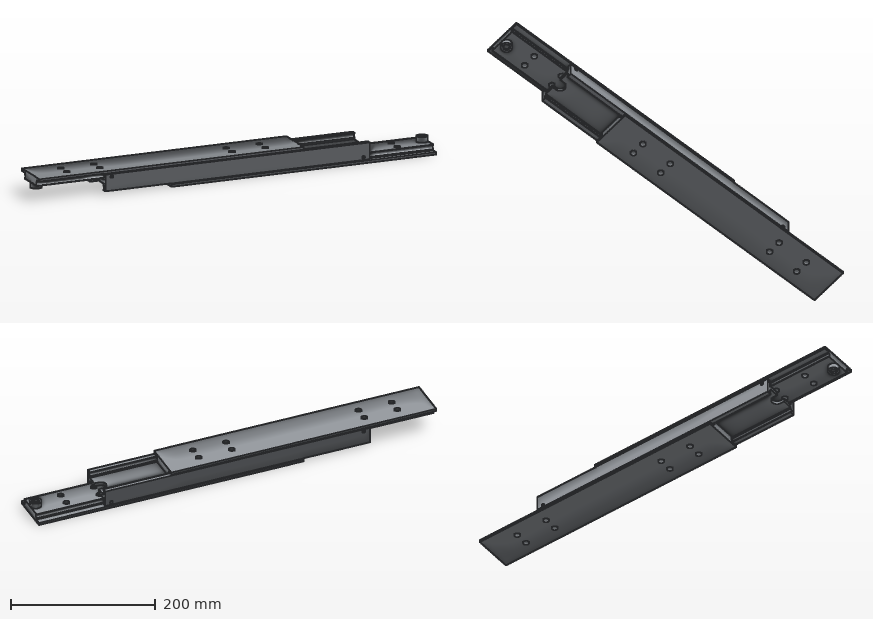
import cadquery as cq
import math

WIDTH = 60.0
HEIGHT = 34.0
EXTENDED_LENGTH = 600.0
RAIL_LENGTH = EXTENDED_LENGTH * 2 / 3

PLATE_THICKNESS = 3.5
GUIDE_HALF_WIDTH = 21.0
GUIDE_FACE_Z = 5.0

MIDDLE_HEIGHT = 24.0
WEB_THICKNESS = 5.5
WALL_GAP = 2.0
WALL_INNER_X = GUIDE_HALF_WIDTH + WALL_GAP

GROOVE_RADIUS = 3.0
GROOVE_Z = 8.5
GROOVE_X = GUIDE_HALF_WIDTH + WALL_GAP / 2
GROOVE_HALF_HEIGHT = math.sqrt(GROOVE_RADIUS**2 - (WALL_GAP / 2) ** 2)

MOUNT_HOLE_DIAMETER = 8.5
MOUNT_HOLE_SPACING = RAIL_LENGTH / 20
MOUNT_HOLE_PITCH = RAIL_LENGTH / 8
MOUNT_HOLE_STEPS = (1, 2, 6, 7)

STOP_DIAMETER = RAIL_LENGTH / 25
STOP_TOP_Z = 3.0
STOP_OVERHANG = 0.1
SOCKET_SIDES = 6
SOCKET_ACROSS_CORNERS = 10.0
SOCKET_DEPTH = 3.5
NOTCH_DEPTH = 14.5

CROSS_HOLE_DIAMETER = 4.0
CROSS_HOLE_FROM_END = 9.5


def groove(section, lip_x, bottom_x, z, rise):
    """Draw a section on to a ball groove and along its arc; rise is 1 going up, -1 going down."""
    return section.lineTo(lip_x, z - rise * GROOVE_HALF_HEIGHT).threePointArc(
        (bottom_x, z), (lip_x, z + rise * GROOVE_HALF_HEIGHT)
    )


def mirrored_rail(half_section):
    """Extrude a closed right half section along -Y and mirror it to the left."""
    half = half_section.close().extrude(RAIL_LENGTH)
    return half.union(half.mirror("YZ"))


def make_outer_rail():
    """Lower outer rail, plate down, with its stop at the +Y end."""
    end_y = EXTENDED_LENGTH / 2 - STOP_OVERHANG
    bottom_z = -HEIGHT / 2
    plate_z = bottom_z + PLATE_THICKNESS

    section = (
        cq.Workplane("XZ", origin=(0, end_y, 0))
        .moveTo(0, bottom_z)
        .lineTo(WIDTH / 2, bottom_z)
        .lineTo(WIDTH / 2, plate_z)
        .lineTo(GUIDE_HALF_WIDTH, plate_z)
    )
    section = groove(section, GUIDE_HALF_WIDTH, GROOVE_X - GROOVE_RADIUS, -GROOVE_Z, 1)
    section = section.lineTo(GUIDE_HALF_WIDTH, -GUIDE_FACE_Z).lineTo(0, -GUIDE_FACE_Z)
    rail = mirrored_rail(section)

    hole_points = [
        (side * MOUNT_HOLE_SPACING / 2, end_y - step * MOUNT_HOLE_PITCH)
        for step in MOUNT_HOLE_STEPS
        for side in (-1, 1)
    ]
    holes = (
        cq.Workplane("XY", origin=(0, 0, bottom_z))
        .pushPoints(hole_points)
        .circle(MOUNT_HOLE_DIAMETER / 2)
        .extrude(HEIGHT / 2)
    )

    stop_y = EXTENDED_LENGTH / 2 - STOP_DIAMETER / 2
    stop = (
        cq.Workplane("XY", origin=(0, stop_y, -GUIDE_FACE_Z))
        .circle(STOP_DIAMETER / 2)
        .extrude(STOP_TOP_Z + GUIDE_FACE_Z)
    )
    socket = (
        cq.Workplane("XY", origin=(0, stop_y, STOP_TOP_Z))
        .polygon(SOCKET_SIDES, SOCKET_ACROSS_CORNERS)
        .extrude(-SOCKET_DEPTH)
    )
    return rail.cut(holes).union(stop).cut(socket)


def make_middle_rail():
    """H-section with a stop notch at both web ends and cross holes through the walls."""
    end_y = RAIL_LENGTH / 2
    top_z = MIDDLE_HEIGHT / 2
    web_z = WEB_THICKNESS / 2

    section = (
        cq.Workplane("XZ", origin=(0, end_y, 0))
        .moveTo(0, -web_z)
        .lineTo(WALL_INNER_X, -web_z)
    )
    section = groove(section, WALL_INNER_X, GROOVE_X + GROOVE_RADIUS, -GROOVE_Z, -1)
    section = (
        section.lineTo(WALL_INNER_X, -top_z)
        .lineTo(WIDTH / 2, -top_z)
        .lineTo(WIDTH / 2, top_z)
        .lineTo(WALL_INNER_X, top_z)
    )
    section = groove(section, WALL_INNER_X, GROOVE_X + GROOVE_RADIUS, GROOVE_Z, -1)
    section = section.lineTo(WALL_INNER_X, web_z).lineTo(0, web_z)
    rail = mirrored_rail(section)

    for end in (-1, 1):
        notch = (
            cq.Workplane("XY", origin=(0, end * end_y, 0))
            .slot2D(2 * NOTCH_DEPTH, STOP_DIAMETER, 90)
            .extrude(WEB_THICKNESS, both=True)
        )
        cross_hole = (
            cq.Workplane("YZ", origin=(0, end * (end_y - CROSS_HOLE_FROM_END), -end * GROOVE_Z))
            .circle(CROSS_HOLE_DIAMETER / 2)
            .extrude(WIDTH, both=True)
        )
        rail = rail.cut(notch).cut(cross_hole)
    return rail


lower_rail = make_outer_rail()
outer_rails = [lower_rail.rotate((0, 0, 0), (1, 0, 0), turn) for turn in (0, 180)]
middle_rail = make_middle_rail()

result = cq.Compound.makeCompound([*[rail.val() for rail in outer_rails], middle_rail.val()])